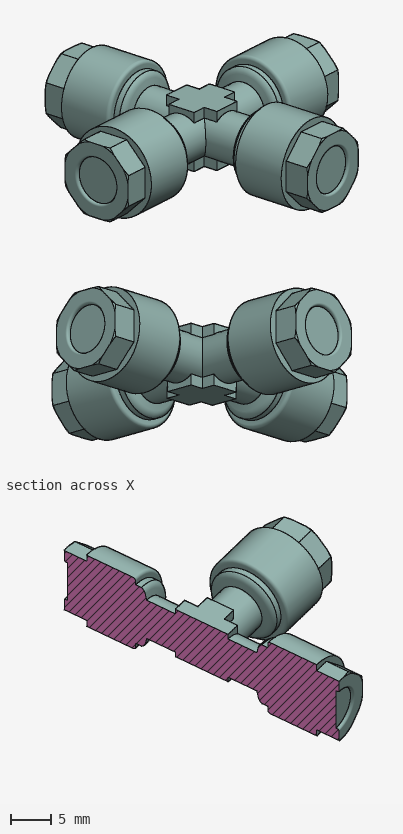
import cadquery as cq
import math

arm_reach = 20.8
arm_count = 4

tube_radius = 3.25
hub_span = 8.0
hub_arm_width = 4.0
hub_height = 8.0

nut_sides = 8
nut_across_flats = 10.0
nut_length = 3.4
nut_corner_chamfer_length = 0.15
nut_end_radius = 5.1

body_radius = 6.0
body_length = 7.45
body_edge_radius = 0.45

collar_radius = 4.95
collar_straight_length = 0.85
collar_shoulder_radius = 4.2
collar_shoulder_length = 0.6
collar_taper_length = 0.2

recess_radius = 3.1
recess_lip_radius = 0.3
recess_depth = 0.5

nut_start = arm_reach - nut_length
body_start = nut_start - body_length
collar_straight_start = body_start - collar_straight_length
collar_shoulder_start = collar_straight_start - collar_shoulder_length
collar_start = collar_shoulder_start - collar_taper_length

arc_inset = 1 - math.sqrt(0.5)


def make_turned_section():
    """Tube, collar and body of one arm, turned about the Z axis."""
    body_inset = body_edge_radius * arc_inset
    profile = (
        cq.Workplane("XZ")
        .lineTo(tube_radius, 0)
        .lineTo(tube_radius, collar_start)
        .lineTo(collar_shoulder_radius, collar_shoulder_start)
        .tangentArcPoint((collar_radius, collar_straight_start), relative=False)
        .lineTo(collar_radius, body_start)
        .lineTo(body_radius - body_edge_radius, body_start)
        .threePointArc(
            (body_radius - body_inset, body_start + body_inset),
            (body_radius, body_start + body_edge_radius),
        )
        .lineTo(body_radius, nut_start)
        .lineTo(0, nut_start)
        .close()
    )
    return profile.revolve(360, (0, 0, 0), (0, 1, 0))


def make_nut():
    """Octagonal nut with its corners turned down at the outer end."""
    half_side_angle = math.pi / nut_sides
    corner_radius = nut_across_flats / 2 / math.cos(half_side_angle)
    octagon = (
        cq.Workplane("XY", origin=(0, 0, nut_start))
        .polygon(nut_sides, 2 * corner_radius)
        .extrude(nut_length)
        .rotate((0, 0, 0), (0, 0, 1), math.degrees(half_side_angle))
    )
    turned_envelope = (
        cq.Workplane("XZ")
        .moveTo(0, nut_start)
        .lineTo(body_radius, nut_start)
        .lineTo(corner_radius, arm_reach - nut_corner_chamfer_length)
        .lineTo(nut_end_radius, arm_reach)
        .lineTo(0, arm_reach)
        .close()
        .revolve(360, (0, 0, 0), (0, 1, 0))
    )
    return octagon.intersect(turned_envelope)


def make_recess():
    """Round plug, flared at the mouth, that is cut from the nut face."""
    lip_inset = recess_lip_radius * arc_inset
    return (
        cq.Workplane("XZ")
        .moveTo(0, arm_reach - recess_depth)
        .lineTo(recess_radius, arm_reach - recess_depth)
        .lineTo(recess_radius, arm_reach - recess_lip_radius)
        .threePointArc(
            (recess_radius + lip_inset, arm_reach - lip_inset),
            (recess_radius + recess_lip_radius, arm_reach),
        )
        .lineTo(0, arm_reach)
        .close()
        .revolve(360, (0, 0, 0), (0, 1, 0))
    )


def make_hub():
    """Cross-shaped block at the centre, flat above and below the tubes."""
    bar_x = cq.Workplane("XY").box(hub_span, hub_arm_width, hub_height)
    bar_y = cq.Workplane("XY").box(hub_arm_width, hub_span, hub_height)
    return bar_x.union(bar_y)


arm = make_turned_section().union(make_nut()).cut(make_recess())
arm_along_x = arm.rotate((0, 0, 0), (0, 1, 0), 90)

result = make_hub()
for index in range(arm_count):
    angle = index * 360 / arm_count
    result = result.union(arm_along_x.rotate((0, 0, 0), (0, 0, 1), angle))